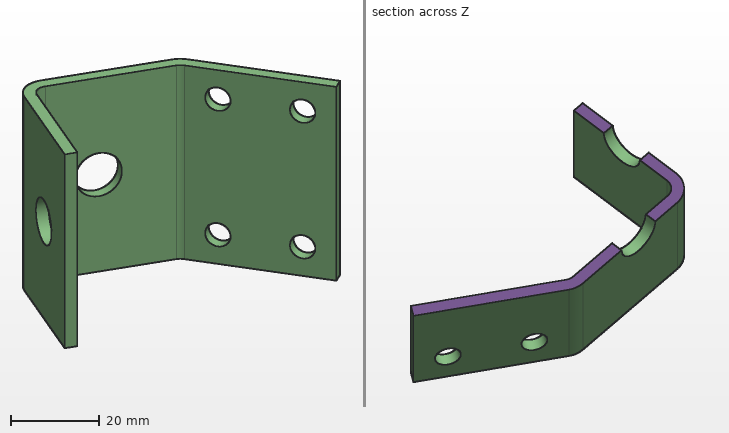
import cadquery as cq
import math

width = 35.0
depth = 70.2
height = 50.0

thickness = 3.0
inner_radius = 3.0
outer_radius = inner_radius + thickness
lean_angle = 35.0
wall_end = 37.3

large_diameter = 11.1
front_hole_x = 20.0
wall_hole_y = 18.8

small_diameter = 6.0
small_spacing_z = 35.0
small_spacing_along = 20.0
small_end_margin = 8.0

lean = math.radians(lean_angle)
along = (math.sin(lean), math.cos(lean))
inward = (math.cos(lean), -math.sin(lean))

bend_end_y = wall_end + outer_radius * math.sin(lean)
slant_length = (depth - bend_end_y) / math.cos(lean)


def slant_bend_point(radius, angle):
    """Point on the slanted bend, at an angle turned from the side wall."""
    return (
        outer_radius - radius * math.cos(angle),
        wall_end + radius * math.sin(angle),
    )


def offset(point, direction, distance):
    return (
        point[0] + direction[0] * distance,
        point[1] + direction[1] * distance,
    )


def front_bend_middle(radius):
    """Middle of the quarter-circle bend between front flange and side wall."""
    reach = radius * math.sqrt(0.5)
    return (outer_radius - reach, outer_radius - reach)


def bent_sheet():
    outer_bend_end = slant_bend_point(outer_radius, lean)
    inner_bend_end = slant_bend_point(inner_radius, lean)
    return (
        cq.Workplane("XY")
        .moveTo(width, 0)
        .lineTo(outer_radius, 0)
        .threePointArc(front_bend_middle(outer_radius), (0, outer_radius))
        .lineTo(0, wall_end)
        .threePointArc(slant_bend_point(outer_radius, lean / 2), outer_bend_end)
        .lineTo(*offset(outer_bend_end, along, slant_length))
        .lineTo(*offset(inner_bend_end, along, slant_length))
        .lineTo(*inner_bend_end)
        .threePointArc(slant_bend_point(inner_radius, lean / 2), (thickness, wall_end))
        .lineTo(thickness, outer_radius)
        .threePointArc(front_bend_middle(inner_radius), (outer_radius, thickness))
        .lineTo(width, thickness)
        .close()
        .extrude(height)
    )


def hole_cutter(diameter, point, z, direction):
    """Cylinder through the sheet, starting at a point on its outer face."""
    return cq.Workplane(
        cq.Solid.makeCylinder(
            diameter / 2,
            thickness,
            cq.Vector(point[0], point[1], z),
            cq.Vector(direction[0], direction[1], 0),
        )
    )


result = bent_sheet()

result = result.cut(hole_cutter(large_diameter, (front_hole_x, 0), height / 2, (0, 1)))
result = result.cut(hole_cutter(large_diameter, (0, wall_hole_y), height / 2, (1, 0)))

slant_start = slant_bend_point(outer_radius, lean)
far_row = slant_length - small_end_margin
for distance in (far_row - small_spacing_along, far_row):
    for side in (-1, 1):
        hole_z = height / 2 + side * small_spacing_z / 2
        hole_start = offset(slant_start, along, distance)
        result = result.cut(hole_cutter(small_diameter, hole_start, hole_z, inward))